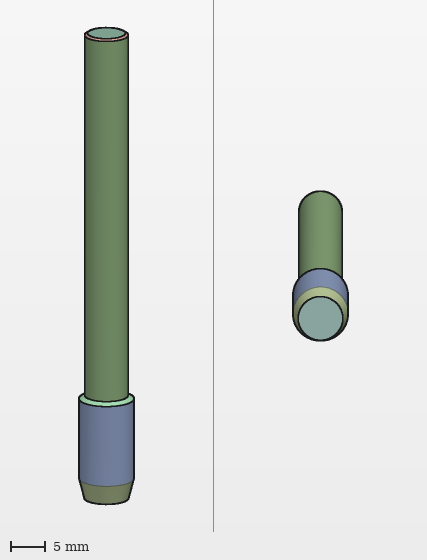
import cadquery as cq

total_length = 70.0

head_diameter = 8.0
tip_diameter = 6.45
tip_length = 3.0
shoulder_start = 15.0
shoulder_height = 0.5

shaft_diameter = 6.3
shaft_end_diameter = 5.45
end_bevel_height = 0.3

shaft_bottom = shoulder_start + shoulder_height


def revolve_profile(points):
    """Revolve a closed outline of (radius, height) points about the Z axis."""
    outline = cq.Workplane("XZ").polyline(points).close()
    return outline.revolve(360, (0, 0, 0), (0, 1, 0))


def make_head():
    return revolve_profile([
        (0, 0),
        (tip_diameter / 2, 0),
        (head_diameter / 2, tip_length),
        (head_diameter / 2, shoulder_start),
        (shaft_diameter / 2, shaft_bottom),
        (0, shaft_bottom),
    ])


def make_shaft():
    return revolve_profile([
        (0, shaft_bottom),
        (shaft_diameter / 2, shaft_bottom),
        (shaft_diameter / 2, total_length - end_bevel_height),
        (shaft_end_diameter / 2, total_length),
        (0, total_length),
    ])


head = make_head()
shaft = make_shaft()

result = cq.Compound.makeCompound([head.val(), shaft.val()])